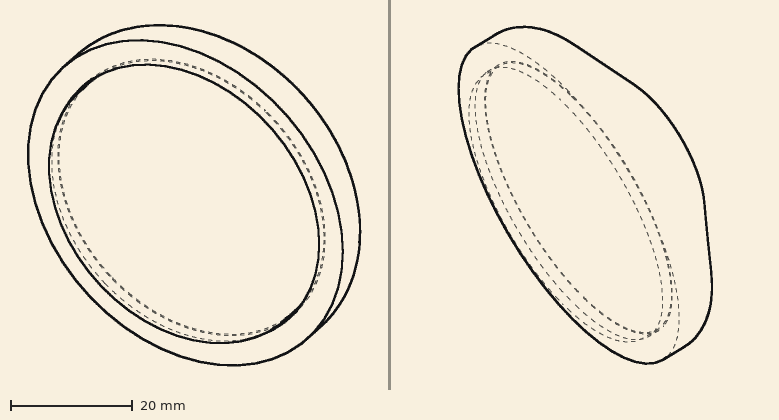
import cadquery as cq

HOUSING_DIAMETER = 60.0
HOUSING_DEPTH = 18.0
RIM_DEPTH = 7.0
BACK_DIAMETER = 26.05
HOUSING_ROUNDING = 5.0

RECESS_DIAMETER = 51.0
RECESS_DEPTH = 2.0
PAD_DIAMETER = 50.5
PAD_PROTRUSION = 2.0
PAD_ROUNDING = 1.0


def make_disc(diameter, start_y, end_y):
    """Disc around the Y axis, from start_y to end_y."""
    return (
        cq.Workplane("XZ", origin=(0, end_y, 0))
        .circle(diameter / 2)
        .extrude(end_y - start_y)
    )


def make_housing():
    """Revolved cap with rounded cone corners and a shallow recess for the pad."""
    half_profile = (
        cq.Workplane("XY")
        .lineTo(HOUSING_DIAMETER / 2, 0)
        .lineTo(HOUSING_DIAMETER / 2, RIM_DEPTH)
        .lineTo(BACK_DIAMETER / 2, HOUSING_DEPTH)
        .lineTo(0, HOUSING_DEPTH)
        .close()
    )
    blank = half_profile.revolve(360, (0, 0, 0), (0, 1, 0))
    cone_corners = blank.edges("%CIRCLE and (not <Y)")
    rounded = cone_corners.fillet(HOUSING_ROUNDING)
    return rounded.cut(make_disc(RECESS_DIAMETER, 0, RECESS_DEPTH))


def make_pad():
    """Disc that rests on the recess floor, with a rounded outer edge."""
    disc = make_disc(PAD_DIAMETER, -PAD_PROTRUSION, RECESS_DEPTH)
    return disc.faces("<Y").edges().fillet(PAD_ROUNDING)


housing = make_housing()
pad = make_pad()

result = cq.Compound.makeCompound([housing.val(), pad.val()])